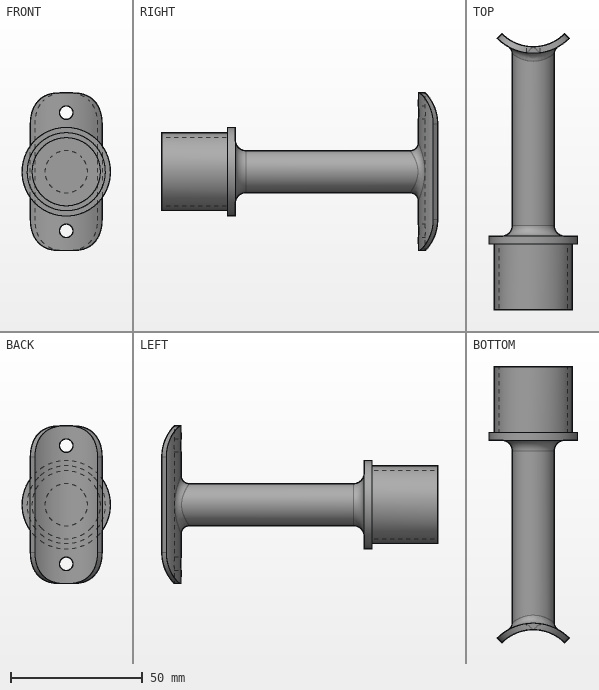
import cadquery as cq
import math

total_length = 104.9

spigot_diameter = 29.7
spigot_bore = 25.9
spigot_length = 25.0
flange_diameter = 33.7
flange_thickness = 3.0

stem_diameter = 16.1
flange_fillet = 4.0
saddle_fillet = 3.0

saddle_inner_radius = flange_diameter / 2
saddle_thickness = 2.5
saddle_half_angle = math.radians(45)
saddle_height = 60.0
saddle_corner_radius = 11.9
hole_diameter = 5.0
hole_spacing = 44.9

saddle_outer_radius = saddle_inner_radius + saddle_thickness
saddle_axis_y = total_length + saddle_inner_radius * math.cos(saddle_half_angle)
stem_start_y = spigot_length + flange_thickness
saddle_bottom_y = saddle_axis_y - saddle_outer_radius


def cylinder_along_y(diameter, start_y, end_y, z=0):
    return cq.Workplane("XY").add(
        cq.Solid.makeCylinder(
            diameter / 2, end_y - start_y, cq.Vector(0, start_y, z), cq.Vector(0, 1, 0)
        )
    )


def saddle_point(radius, angle):
    """Point on a saddle arc, with the angle measured from the stem axis."""
    return radius * math.sin(angle), saddle_axis_y - radius * math.cos(angle)


def make_corner_waste():
    """Material outside one rounded corner, swept along the radial side face at +X, +Z."""
    radius = saddle_corner_radius
    top = saddle_height / 2
    diagonal = radius * (1 - math.sqrt(0.5))
    sine = math.sin(saddle_half_angle)
    cosine = math.cos(saddle_half_angle)
    radial_plane = cq.Plane(
        origin=(0, saddle_axis_y, 0), xDir=(cosine, sine, 0), normal=(sine, -cosine, 0)
    )
    return (
        cq.Workplane(radial_plane)
        .moveTo(-radius, top)
        .threePointArc((-diagonal, top - diagonal), (0, top - radius))
        .lineTo(radius, top - radius)
        .lineTo(radius, top + radius)
        .lineTo(-radius, top + radius)
        .close()
        .extrude(2 * saddle_outer_radius)
    )


def make_saddle():
    """Curved plate with radial side faces and rounded corners."""
    plate = (
        cq.Workplane("XY")
        .workplane(offset=-saddle_height / 2)
        .moveTo(*saddle_point(saddle_inner_radius, -saddle_half_angle))
        .threePointArc(
            saddle_point(saddle_inner_radius, 0),
            saddle_point(saddle_inner_radius, saddle_half_angle),
        )
        .lineTo(*saddle_point(saddle_outer_radius, saddle_half_angle))
        .threePointArc(
            saddle_point(saddle_outer_radius, 0),
            saddle_point(saddle_outer_radius, -saddle_half_angle),
        )
        .close()
        .extrude(saddle_height)
    )
    corner = make_corner_waste()
    corners = corner.union(corner.mirror("YZ"))
    return plate.cut(corners).cut(corners.mirror("XY"))


stem_blank = cylinder_along_y(stem_diameter, stem_start_y, saddle_axis_y)
saddle_core = (
    cq.Workplane("XY")
    .workplane(offset=-saddle_height / 2)
    .center(0, saddle_axis_y)
    .circle(saddle_inner_radius + saddle_thickness / 2)
    .extrude(saddle_height)
)
stem = stem_blank.cut(saddle_core)
body = make_saddle().union(stem)
blend_reach = stem_diameter / 2 + saddle_fillet
blend_edges = body.edges(
    cq.selectors.BoxSelector(
        (-blend_reach, saddle_bottom_y - saddle_thickness, -blend_reach),
        (blend_reach, saddle_axis_y, blend_reach),
        boundingbox=True,
    )
)
body = blend_edges.fillet(saddle_fillet)

body = body.union(cylinder_along_y(flange_diameter, spigot_length, stem_start_y))
flange_edge = body.edges(
    cq.selectors.BoxSelector(
        (-blend_reach, spigot_length, -blend_reach),
        (blend_reach, stem_start_y + flange_thickness, blend_reach),
        boundingbox=True,
    )
)
body = flange_edge.fillet(flange_fillet)

spigot = cylinder_along_y(spigot_diameter, 0, spigot_length)
spigot_cavity = cylinder_along_y(spigot_bore, 0, spigot_length)
body = body.union(spigot.cut(spigot_cavity))

for hole_z in (-hole_spacing / 2, hole_spacing / 2):
    body = body.cut(cylinder_along_y(hole_diameter, stem_start_y, saddle_axis_y, hole_z))

result = body